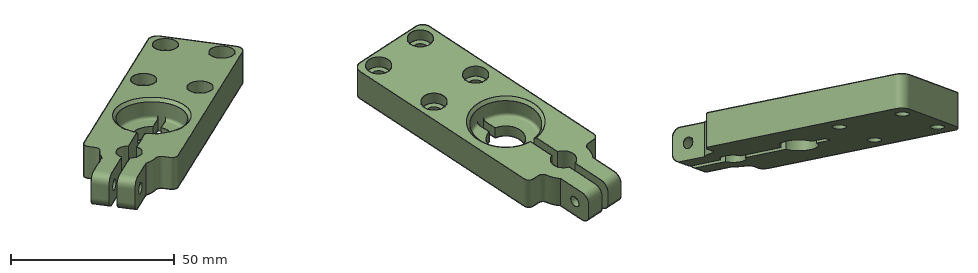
import cadquery as cq
import math

width = 30.0
thickness = 11.0
length = 94.0
rear_edge = 51.0
front_edge = rear_edge - length
rear_corner_radius = 3.0
front_corner_radius = 2.0

bore_diameter = 12.0
pocket_radius = 11.0
pocket_depth = 7.0
pocket_chamfer = 1.0
pocket_floor_fillet = 1.0

slit_width = 2.5
relief_y = -25.0
relief_diameter = 8.0
neck_radius = 9.0
neck_fillet = 2.0
jaws_width = 14.0
jaw_end_radius = 3.0
clamp_screw_diameter = 3.6
clamp_screw_y = front_edge + 6.0

mount_spacing_x = 18.0
mount_spacing_y = 24.0
mount_rear_margin = 5.0
mount_diameter = 4.5
counterbore_diameter = 8.0
counterbore_depth = 4.0


def make_plate():
    """Rectangular plate whose front edge passes through the relief hole axis."""
    plate_length = rear_edge - relief_y
    plate = cq.Workplane("XY").box(width, plate_length, thickness, centered=(True, False, False))
    plate = plate.translate((0, relief_y, 0))
    plate = plate.edges("|Z and >Y").fillet(rear_corner_radius)
    return plate.edges("|Z and <Y").fillet(front_corner_radius)


def make_neck():
    """Round neck blended into the front edge of the plate by concave fillets."""
    fillet_center_x = math.sqrt((neck_radius + neck_fillet) ** 2 - neck_fillet ** 2)
    fillet_center_y = relief_y - neck_fillet
    neck_share = neck_radius / (neck_radius + neck_fillet)
    tangent_x = fillet_center_x * neck_share
    tangent_y = relief_y - neck_fillet * neck_share
    start_angle = math.pi / 2
    end_angle = math.pi - math.atan2(neck_fillet, fillet_center_x)
    middle_angle = (start_angle + end_angle) / 2
    middle_x = fillet_center_x + neck_fillet * math.cos(middle_angle)
    middle_y = fillet_center_y + neck_fillet * math.sin(middle_angle)
    outline = (
        cq.Workplane("XY")
        .moveTo(-fillet_center_x, relief_y)
        .threePointArc((-middle_x, middle_y), (-tangent_x, tangent_y))
        .threePointArc((0, relief_y - neck_radius), (tangent_x, tangent_y))
        .threePointArc((middle_x, middle_y), (fillet_center_x, relief_y))
        .close()
    )
    return outline.extrude(thickness)


def make_jaws():
    """Clamp jaws, still joined, with rounded upper and lower front edges."""
    jaws = cq.Workplane("XY").box(
        jaws_width, relief_y - front_edge, thickness, centered=(True, False, False)
    )
    jaws = jaws.translate((0, front_edge, 0))
    return jaws.edges("|X and <Y").fillet(jaw_end_radius)


def make_pocket():
    """Pocket cutter with a rounded floor edge and a chamfered mouth."""
    pocket = (
        cq.Workplane("XY")
        .workplane(offset=thickness - pocket_depth)
        .circle(pocket_radius)
        .extrude(pocket_depth)
        .faces("<Z")
        .edges()
        .fillet(pocket_floor_fillet)
    )
    mouth = cq.Solid.makeCone(
        pocket_radius,
        pocket_radius + pocket_chamfer,
        pocket_chamfer,
        pnt=cq.Vector(0, 0, thickness - pocket_chamfer),
    )
    return pocket.union(cq.Workplane(mouth))


def make_slit():
    """Slit from the rear wall of the pocket through the front of the jaws."""
    slit = cq.Workplane("XY").box(
        slit_width, pocket_radius - front_edge, thickness, centered=(True, False, False)
    )
    slit = slit.translate((0, front_edge, 0))
    pocket_reach = cq.Workplane("XY").circle(pocket_radius).extrude(thickness)
    front_reach = cq.Workplane("XY").box(
        slit_width, -front_edge, thickness, centered=(True, False, False)
    )
    front_reach = front_reach.translate((0, front_edge, 0))
    return slit.intersect(pocket_reach).union(front_reach)


def cut_mounting_holes(body):
    pattern_center_y = rear_edge - mount_rear_margin - mount_spacing_y / 2
    return (
        body.faces(">Z")
        .workplane(origin=(0, pattern_center_y, thickness))
        .rarray(mount_spacing_x, mount_spacing_y, 2, 2)
        .cboreHole(mount_diameter, counterbore_diameter, counterbore_depth)
    )


bore = cq.Workplane("XY").circle(bore_diameter / 2).extrude(thickness)
relief_hole = cq.Workplane("XY").center(0, relief_y).circle(relief_diameter / 2).extrude(thickness)
clamp_screw_hole = (
    cq.Workplane("YZ")
    .center(clamp_screw_y, thickness / 2)
    .circle(clamp_screw_diameter / 2)
    .extrude(jaws_width / 2, both=True)
)

result = make_plate().union(make_neck()).union(make_jaws())
result = cut_mounting_holes(result)
for cutter in (make_pocket(), bore, relief_hole, make_slit(), clamp_screw_hole):
    result = result.cut(cutter)